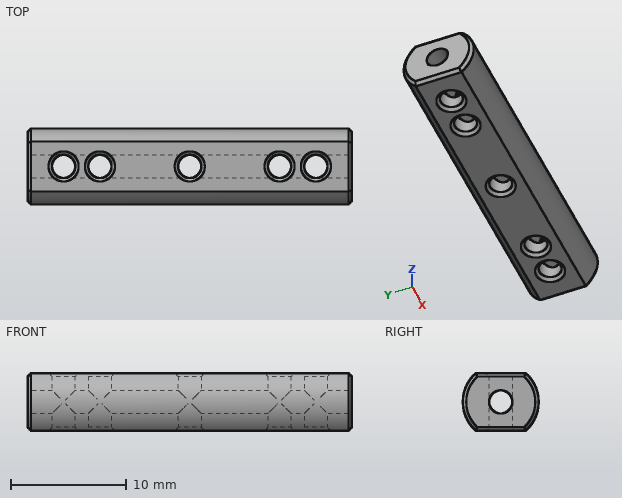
import cadquery as cq

length = 28.12
bar_diameter = 6.6
flat_height = 5.0

bore_diameter = 2.0
end_chamfer = 0.3
countersink_depth = 0.3

inner_hole_offset = 7.8
outer_hole_offset = 10.95
cross_hole_positions = [
    -outer_hole_offset,
    -inner_hole_offset,
    0,
    inner_hole_offset,
    outer_hole_offset,
]


def flatted_bar():
    """Round bar centred on the origin, cut to two flats, with chamfered ends."""
    round_bar = cq.Workplane("YZ").circle(bar_diameter / 2).extrude(length / 2, both=True)
    flats = cq.Workplane("XY").box(length, bar_diameter, flat_height)
    return round_bar.intersect(flats).faces("<X or >X").chamfer(end_chamfer)


def axial_bore():
    """Plain bore along the full length of the bar."""
    return cq.Workplane("YZ").circle(bore_diameter / 2).extrude(length / 2, both=True)


def cross_hole(x):
    """Vertical through hole with a 45 degree countersink at both flats."""
    bore_radius = bore_diameter / 2
    mouth_radius = bore_radius + countersink_depth
    flat_z = flat_height / 2
    sink_z = flat_z - countersink_depth
    half_section = [
        (0, -flat_z),
        (mouth_radius, -flat_z),
        (bore_radius, -sink_z),
        (bore_radius, sink_z),
        (mouth_radius, flat_z),
        (0, flat_z),
    ]
    cutter = cq.Workplane("XZ").polyline(half_section).close().revolve(360, (0, 0), (0, 1))
    return cutter.translate((x, 0, 0))


result = flatted_bar().cut(axial_bore())
for hole_x in cross_hole_positions:
    result = result.cut(cross_hole(hole_x))